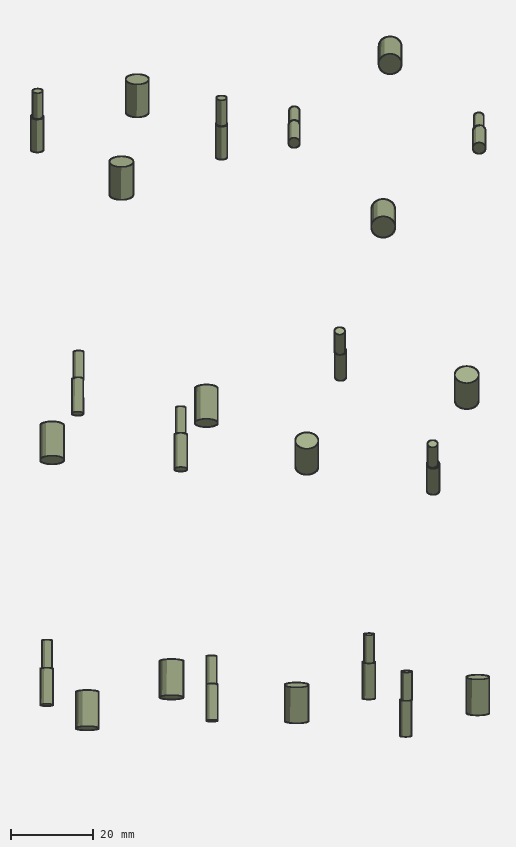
import cadquery as cq

shoulder_height = 9.0
pin_height = 16.0

back_post_diameter = 5.65
front_post_diameter = 5.9
front_pin_base_diameter = 3.17
front_pin_shank_diameter = 2.53
back_pin_base_diameter = 2.83
back_pin_shank_diameter = 2.6

column_spacing = 31.95
row_spacing = 31.8
left = -column_spacing / 2
right = column_spacing / 2
front = -row_spacing / 2
back = row_spacing / 2

front_shank_offset = (0.05, 0.1)
back_shank_offset = (-0.2, 0.15)


def cylinder(x, y, bottom, top, diameter):
    """Vertical cylinder between two heights."""
    return (
        cq.Workplane("XY", origin=(x, y, bottom))
        .circle(diameter / 2)
        .extrude(top - bottom)
    )


def post(x, y, diameter):
    """Plain post, as tall as the shoulder of a pin."""
    return cylinder(x, y, 0, shoulder_height, diameter)


def stepped_pin(x, y, base_diameter, shank_diameter, shank_offset):
    """Pin with a wide base and a narrower, slightly eccentric shank."""
    offset_x, offset_y = shank_offset
    base = cylinder(x, y, 0, shoulder_height, base_diameter)
    shank = cylinder(x + offset_x, y + offset_y, shoulder_height, pin_height, shank_diameter)
    return base.union(shank)


back_post = post(left, back, back_post_diameter)
front_post = post(right, front, front_post_diameter)
front_pin = stepped_pin(
    left, front, front_pin_base_diameter, front_pin_shank_diameter, front_shank_offset
)
back_pin = stepped_pin(
    right, back, back_pin_base_diameter, back_pin_shank_diameter, back_shank_offset
)

result = cq.Compound.makeCompound(
    [back_post.val(), front_post.val(), front_pin.val(), back_pin.val()]
)